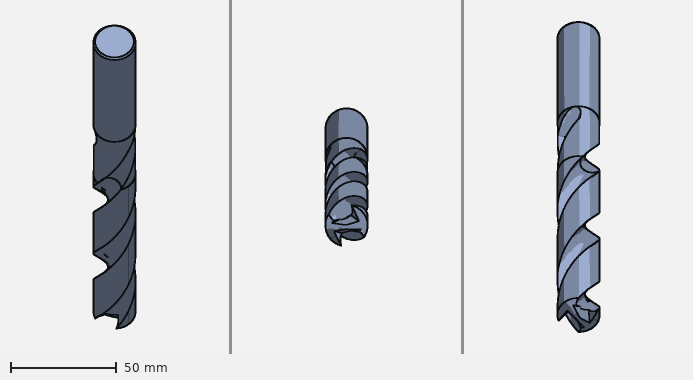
import cadquery as cq
import math

LENGTH = 225.0
SHANK_DIAMETER = 20.0
NECK_DIAMETER = 19.8
SHANK_START = 156.8
JOINT_HEIGHT = 117.0
END_CHAMFER = 1.0

POINT_ANGLE = 140.0
point_height = SHANK_DIAMETER / 2 / math.tan(math.radians(POINT_ANGLE / 2))

FLUTE_COUNT = 2
FLUTE_PITCH = 109.8
FLUTE_RADIUS = 5.8
WEB_DIAMETER = 6.3
FLUTE_PHASE = 97.0
RUNOUT_START = 145.0
RUNOUT_TURN = 31.0
flute_offset = WEB_DIAMETER / 2 + FLUTE_RADIUS
runout_offset = NECK_DIAMETER / 2 + FLUTE_RADIUS

GASH_INSET = 1.0
GASH_YAW = 28.0
GASH_TILT = 24.0
GASH_ROLL = 34.0
GASH_PEAK_SIDE = 2.0
GASH_PEAK_HEIGHT = 8.5
GASH_LENGTH = 11.2
GASH_DEPTH = 9.0


def flute_angle(z):
    """Direction of the first flute at height z, in degrees."""
    return FLUTE_PHASE + 360 * z / FLUTE_PITCH


def flute_circle(offset, angle, z):
    """Horizontal flute profile at the given distance and direction from the axis."""
    circle = cq.Wire.makeCircle(FLUTE_RADIUS, cq.Vector(offset, 0, z), cq.Vector(0, 0, 1))
    return circle.rotate(cq.Vector(0, 0, 0), cq.Vector(0, 0, 1), angle)


def helical_flute(bottom, top, turn):
    """Cutter for one flute between two heights."""
    profile = flute_circle(flute_offset, flute_angle(bottom) + turn, bottom)
    height = top - bottom
    return cq.Solid.extrudeLinearWithRotation(
        profile,
        [],
        cq.Vector(0, 0, bottom),
        cq.Vector(0, 0, height),
        360 * height / FLUTE_PITCH,
    )


def flute_runout(turn):
    """Straight cutter that leads one flute out through the neck surface."""
    angle = flute_angle(RUNOUT_START) + turn
    start = flute_circle(flute_offset, angle, RUNOUT_START)
    end = flute_circle(runout_offset, angle + RUNOUT_TURN, SHANK_START)
    return cq.Solid.makeLoft([start, end], True)


def point_gash(turn):
    """Rectangular cutter with one corner up, leaning away from the axis as it rises."""
    gash = cq.Workplane("XY").box(GASH_DEPTH, GASH_LENGTH, GASH_LENGTH, centered=False)
    gash = gash.translate((0, -GASH_LENGTH, -GASH_LENGTH))
    gash = gash.rotate((0, 0, 0), (1, 0, 0), GASH_ROLL)
    gash = gash.translate((0, GASH_PEAK_SIDE, GASH_PEAK_HEIGHT))
    gash = gash.rotate((0, 0, 0), (0, 1, 0), GASH_TILT)
    gash = gash.translate((GASH_INSET, 0, 0))
    return gash.rotate((0, 0, 0), (0, 0, 1), flute_angle(0) + GASH_YAW + turn)


flute_turns = [360 * i / FLUTE_COUNT for i in range(FLUTE_COUNT)]


def make_cutting_part():
    """Fluted lower body with the conical drill point."""
    radius = SHANK_DIAMETER / 2
    outline = [(0, 0), (radius, point_height), (radius, JOINT_HEIGHT), (0, JOINT_HEIGHT)]
    body = cq.Workplane("XZ").polyline(outline).close().revolve(360, (0, 0), (0, 1))
    for turn in flute_turns:
        body = body.cut(cq.Workplane(helical_flute(0, JOINT_HEIGHT, turn)))
        body = body.cut(point_gash(turn))
    return body


def make_shank():
    """Plain shank with a neck in which the flutes run out."""
    neck = cq.Workplane("XY", origin=(0, 0, JOINT_HEIGHT)).circle(NECK_DIAMETER / 2).extrude(
        SHANK_START - JOINT_HEIGHT
    )
    for turn in flute_turns:
        neck = neck.cut(cq.Workplane(helical_flute(JOINT_HEIGHT, RUNOUT_START, turn)))
        neck = neck.cut(cq.Workplane(flute_runout(turn)))
    shank = cq.Workplane("XY", origin=(0, 0, SHANK_START)).circle(SHANK_DIAMETER / 2)
    shank = shank.extrude(LENGTH - SHANK_START).faces(">Z").chamfer(END_CHAMFER)
    return shank.union(neck)


cutting_part = make_cutting_part()
shank = make_shank()
result = cq.Compound.makeCompound([cutting_part.val(), shank.val()])